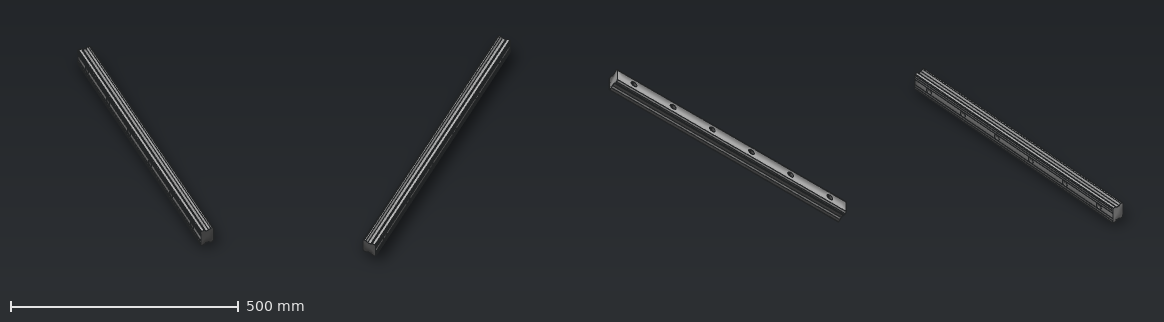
import cadquery as cq

length = 615.0
depth = 32.0
height = 45.0

rear_chamfer = 3.5
front_chamfer = 2.0
channel_depth = 3.5
rear_lip_width = 7.5
rear_slope_width = 5.0
front_lip_width = 8.5
front_slope_width = 3.5

outer_relief_height = 29.0
outer_relief_depth = 0.3
inner_relief_height = 15.5
inner_relief_depth = 0.5

hole_diameter = 15.0
hole_count = 6
hole_pitch = 105.0

half_depth = depth / 2
half_height = height / 2
channel_floor = half_height - channel_depth


def rail_body():
    """Extrude the section, which is symmetric about its horizontal middle plane."""
    upper_half = [
        (half_depth, half_height - rear_chamfer),
        (half_depth - rear_chamfer, half_height),
        (half_depth - rear_lip_width, half_height),
        (half_depth - rear_lip_width - rear_slope_width, channel_floor),
        (front_lip_width + front_slope_width - half_depth, channel_floor),
        (front_lip_width - half_depth, half_height),
        (front_chamfer - half_depth, half_height),
        (-half_depth, half_height - front_chamfer),
    ]
    lower_half = [(y, -z) for y, z in reversed(upper_half)]
    section = cq.Workplane("YZ").polyline(upper_half + lower_half).close()
    return section.extrude(length / 2, both=True)


def front_relief(relief_height, relief_depth):
    """Full-length, square-sided relief centered on the front face."""
    return cq.Workplane("XY").box(length, 2 * relief_depth, relief_height).translate((0, -half_depth, 0))


def mounting_holes():
    """Row of holes passing through the rail from front to rear."""
    return (
        cq.Workplane("XZ")
        .rarray(hole_pitch, 6, hole_count, 1)
        .circle(hole_diameter / 2)
        .extrude(depth, both=True)
    )


result = (
    rail_body()
    .cut(front_relief(outer_relief_height, outer_relief_depth))
    .cut(front_relief(inner_relief_height, inner_relief_depth))
    .cut(mounting_holes())
)